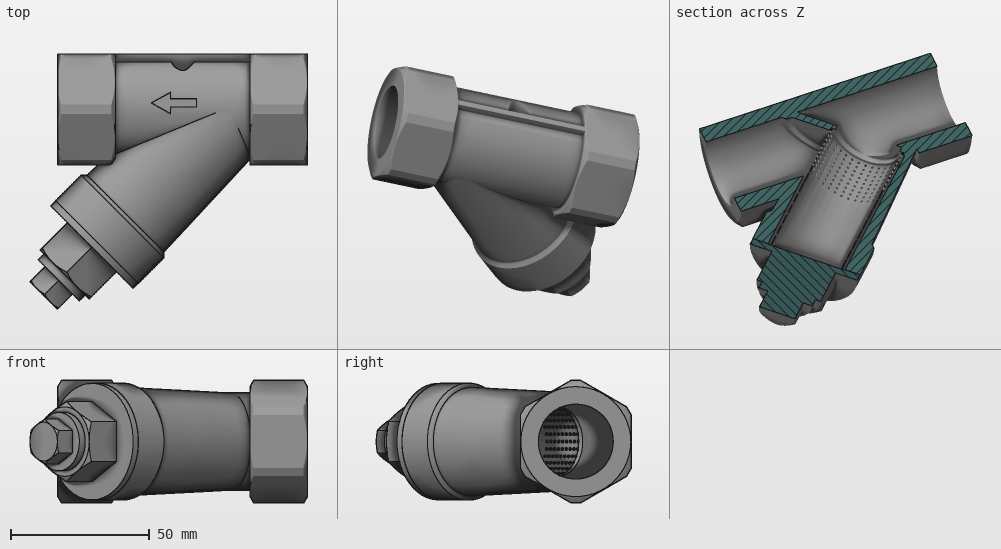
import cadquery as cq
import math

PIPE_DIAMETER = 35.2

END_FACE_X = 45.0
END_LENGTH = 20.8
END_FLATS = 40.0
END_FACE_DIAMETER = 39.6
END_CORNERS = 44.2
END_EDGE_ROUND = 0.3
PORT_DIAMETER = 27.0
PORT_LIP_DIAMETER = 25.0
PORT_LIP_DEPTH = 1.5
PORT_LIP_OFFSET = 0.5

BRANCH_FOOT_X = 16.9
BRANCH_ROOT_DIAMETER = PIPE_DIAMETER
BRANCH_END_DIAMETER = 39.2
COLLAR_DIAMETER = 42.2
COLLAR_START = 54.5
COLLAR_END = 67.5
CHAMBER_DIAMETER = 30.0

PARTITION_FACE = 12.0
PARTITION_THICKNESS = 3.0
SEAT_DEPTH = 1.0
PASSAGE_DIAMETER = 25.0

SIDE_FLAT_Y = 17.1
PAD_HALF_HEIGHT = 1.0
NOTCH_POINTS = [(-4.0, 17.1), (-1.8, 14.6), (0.5, 14.1), (2.8, 15.7), (9.2, 17.1)]

ARROW_TIP_X = -11.3
ARROW_NECK_X = -4.3
ARROW_TAIL_X = 4.9
ARROW_HEAD_WIDTH = 7.8
ARROW_SHAFT_WIDTH = 3.0
ARROW_HEIGHT = 0.3
ARROW_TILT = 7.7

FLANGE_DIAMETER = 42.0
FLANGE_END = 70.1
CAP_HEX_FLATS = 25.0
CAP_HEX_END = 84.0
CAP_RING_DIAMETER = 21.0
CAP_RING_END = 87.0
PLUG_HEX_FLATS = 14.0
PLUG_HEX_END = 94.7
CHAMFER_ANGLE = 30.0

SCREEN_OUTER_DIAMETER = 28.0
SCREEN_INNER_DIAMETER = 27.2
SCREEN_HOLE_DIAMETER = 1.0
SCREEN_HOLES_AROUND = 32
SCREEN_HOLE_ROWS = 9
SCREEN_ROW_PITCH = 2.0
SCREEN_FIRST_ROW = 12.4
DRILL_CLEARANCE = 0.4

CHAMFER_SLOPE = math.tan(math.radians(CHAMFER_ANGLE))
SQRT3 = math.sqrt(3)
END_INNER_X = END_FACE_X - END_LENGTH
BRANCH_DIRECTION = cq.Vector(-1, -1, 0).normalized()


def branch_plane(distance):
    """Plane across the branch axis; its local X lies in the XY plane and its local Y is vertical."""
    origin = cq.Vector(BRANCH_FOOT_X, 0, 0) + BRANCH_DIRECTION * distance
    return cq.Plane(origin=origin, xDir=(-1, 1, 0), normal=BRANCH_DIRECTION)


def branch_cylinder(diameter, start, end):
    return cq.Workplane(branch_plane(start)).circle(diameter / 2).extrude(end - start)


def branch_hexagon(flats, start, end):
    """Hexagon on the branch axis with a vertical corner and a conical chamfer at its far end."""
    corner_radius = flats / SQRT3
    flat_radius = flats / 2
    chamfer = (corner_radius - flat_radius) * CHAMFER_SLOPE
    length = end - start
    prism = (
        cq.Workplane(branch_plane(start))
        .transformed(rotate=(0, 0, 90))
        .polygon(6, 2 * corner_radius)
        .extrude(length)
    )
    envelope = (
        cq.Workplane(branch_plane(start))
        .circle(corner_radius)
        .extrude(length)
        .faces(cq.selectors.DirectionMinMaxSelector(BRANCH_DIRECTION, True))
        .chamfer(chamfer, corner_radius - flat_radius)
    )
    return prism.intersect(envelope)


def hexagonal_end():
    """Pipe end at +X: hexagon with truncated corners and conical chamfers on both faces."""
    start = cq.Workplane("YZ", origin=(END_INNER_X, 0, 0))
    hexagon = start.transformed(rotate=(0, 0, 90)).polygon(6, 2 * END_FLATS / SQRT3).extrude(END_LENGTH)
    truncation = start.polygon(6, 2 * END_CORNERS / SQRT3).extrude(END_LENGTH)
    face_radius = END_FACE_DIAMETER / 2
    outer_radius = END_CORNERS / SQRT3
    chamfer = (outer_radius - face_radius) * CHAMFER_SLOPE
    envelope = (
        cq.Workplane("XY")
        .moveTo(END_INNER_X, 0)
        .lineTo(END_INNER_X, face_radius)
        .lineTo(END_INNER_X + chamfer, outer_radius)
        .lineTo(END_FACE_X - chamfer, outer_radius)
        .lineTo(END_FACE_X, face_radius)
        .lineTo(END_FACE_X, 0)
        .close()
        .revolve(360, (0, 0, 0), (1, 0, 0))
    )
    sides = hexagon.intersect(truncation).edges("|X").fillet(END_EDGE_ROUND)
    return sides.intersect(envelope).edges("not (|X or %CIRCLE)").fillet(END_EDGE_ROUND)


def side_pad():
    """Pad flush with the +Y flats of the ends."""
    return cq.Workplane("XY").box(2 * END_INNER_X, END_FLATS / 2, 2 * PAD_HALF_HEIGHT, centered=(True, False, True))


def side_flat():
    """Slice to remove from the +Y side of the pipe."""
    return (
        cq.Workplane("XY")
        .box(2 * END_INNER_X, END_FLATS, END_CORNERS, centered=(True, False, True))
        .translate((0, SIDE_FLAT_Y, 0))
    )


def side_notch():
    """Rounded notch to remove from the +Y side of the pipe, down to the top of the pad."""
    return (
        cq.Workplane("XY", origin=(0, 0, PAD_HALF_HEIGHT))
        .moveTo(*NOTCH_POINTS[0])
        .spline(NOTCH_POINTS[1:], includeCurrent=True)
        .close()
        .extrude(PIPE_DIAMETER / 2)
    )


def pipe():
    end = hexagonal_end()
    tube = cq.Workplane("YZ", origin=(-END_INNER_X, 0, 0)).circle(PIPE_DIAMETER / 2).extrude(2 * END_INNER_X)
    tube = tube.cut(side_flat()).union(side_pad()).cut(side_notch())
    return tube.union(end).union(end.mirror("YZ"))


def branch():
    """Tapered branch that ends in a collar with a 45 degree shoulder."""
    shoulder = (COLLAR_DIAMETER - BRANCH_END_DIAMETER) / 2
    taper_length = COLLAR_START - shoulder
    taper = (
        cq.Workplane(branch_plane(0))
        .circle(BRANCH_ROOT_DIAMETER / 2)
        .workplane(offset=taper_length)
        .circle(BRANCH_END_DIAMETER / 2)
        .loft(ruled=True)
    )
    collar = branch_cylinder(COLLAR_DIAMETER, taper_length, COLLAR_END)
    collar = collar.faces(cq.selectors.DirectionMinMaxSelector(BRANCH_DIRECTION, False)).chamfer(shoulder)
    return taper.union(collar)


def flow_arrow():
    half_head = ARROW_HEAD_WIDTH / 2
    half_shaft = ARROW_SHAFT_WIDTH / 2
    arrow = (
        cq.Workplane("XY")
        .moveTo(ARROW_TIP_X, 0)
        .lineTo(ARROW_NECK_X, -half_head)
        .lineTo(ARROW_NECK_X, -half_shaft)
        .lineTo(ARROW_TAIL_X, -half_shaft)
        .lineTo(ARROW_TAIL_X, half_shaft)
        .lineTo(ARROW_NECK_X, half_shaft)
        .lineTo(ARROW_NECK_X, half_head)
        .close()
        .extrude(PIPE_DIAMETER / 2 + ARROW_HEIGHT)
    )
    return arrow.rotate((0, 0, 0), (1, 0, 0), -ARROW_TILT)


def beyond(distance):
    """Large block on the branch side of the plane across the branch axis at this distance."""
    size = 4 * END_FACE_X
    return cq.Workplane(branch_plane(distance)).rect(size, size).extrude(size)


def port_bore(diameter):
    """Bore through the whole pipe."""
    return cq.Workplane("YZ", origin=(-END_FACE_X, 0, 0)).circle(diameter / 2).extrude(2 * END_FACE_X)


def flow_passages():
    """Outlet bore, inlet bore, screen chamber, screen seat and the passage through the partition."""
    partition_back = PARTITION_FACE - PARTITION_THICKNESS
    outlet = port_bore(PORT_DIAMETER).intersect(beyond(PARTITION_FACE + PORT_LIP_DEPTH))
    outlet_lip = port_bore(PORT_LIP_DIAMETER).translate((0, -PORT_LIP_OFFSET, 0)).intersect(beyond(PARTITION_FACE))
    inlet = port_bore(PORT_DIAMETER).cut(beyond(partition_back))
    chamber = branch_cylinder(CHAMBER_DIAMETER, PARTITION_FACE, COLLAR_END)
    seat = branch_cylinder(SCREEN_OUTER_DIAMETER, PARTITION_FACE - SEAT_DEPTH, PARTITION_FACE)
    passage = branch_cylinder(PASSAGE_DIAMETER, partition_back, PARTITION_FACE)
    return [outlet, outlet_lip, inlet, chamber, seat, passage]


def make_housing():
    housing = pipe().union(branch()).union(flow_arrow())
    for passage in flow_passages():
        housing = housing.cut(passage)
    return housing


def screen():
    """Thin tube with rows of small radial holes near its seated end."""
    start = PARTITION_FACE - SEAT_DEPTH
    tube = (
        cq.Workplane(branch_plane(start))
        .circle(SCREEN_OUTER_DIAMETER / 2)
        .circle(SCREEN_INNER_DIAMETER / 2)
        .extrude(COLLAR_END - start)
    )
    drill_length = (SCREEN_OUTER_DIAMETER - SCREEN_INNER_DIAMETER) / 2 + 2 * DRILL_CLEARANCE
    drills = []
    for row in range(SCREEN_HOLE_ROWS):
        plane = branch_plane(SCREEN_FIRST_ROW + row * SCREEN_ROW_PITCH)
        for step in range(SCREEN_HOLES_AROUND):
            angle = step * 2 * math.pi / SCREEN_HOLES_AROUND
            direction = plane.xDir * math.cos(angle) + plane.yDir * math.sin(angle)
            drill_start = plane.origin + direction * (SCREEN_INNER_DIAMETER / 2 - DRILL_CLEARANCE)
            drills.append(
                cq.Solid.makeCylinder(SCREEN_HOLE_DIAMETER / 2, drill_length, drill_start, direction)
            )
    return cq.Workplane(tube.val().cut(*drills))


def make_cap():
    """Flange, hexagon, ring and plug hexagon in line, with the screen on the inner side of the flange."""
    return (
        branch_cylinder(FLANGE_DIAMETER, COLLAR_END, FLANGE_END)
        .union(branch_hexagon(CAP_HEX_FLATS, FLANGE_END, CAP_HEX_END))
        .union(branch_cylinder(CAP_RING_DIAMETER, CAP_HEX_END, CAP_RING_END))
        .union(branch_hexagon(PLUG_HEX_FLATS, CAP_RING_END, PLUG_HEX_END))
        .union(screen())
    )


housing = make_housing()
cap = make_cap()
result = cq.Compound.makeCompound([housing.val(), cap.val()])